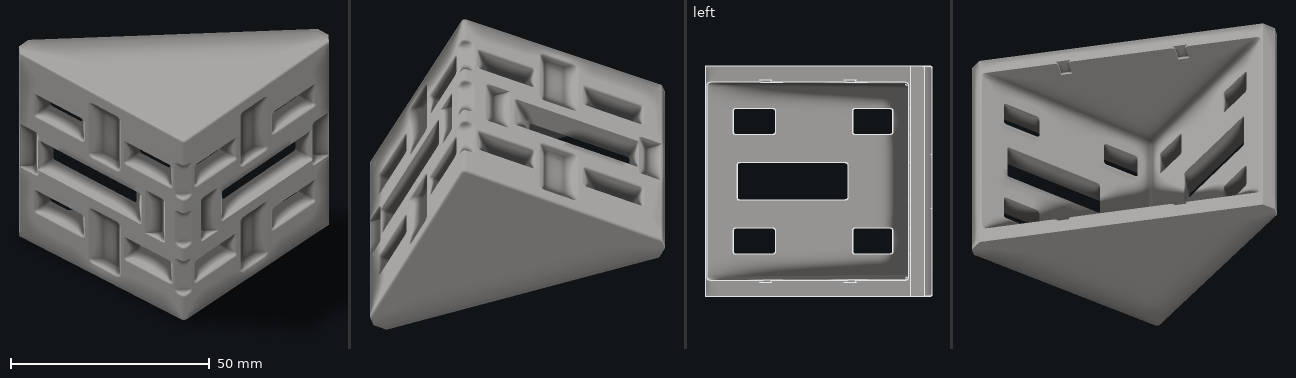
import cadquery as cq
import math


LEG = 57.0
HEIGHT = 58.0
TIP_WIDTH = 5.5
TIP_CHAMFER = 2.0
DRAFT = math.radians(1.0)
CORNER_RADIUS = 1.0
SIDE_EDGE_RADIUS = 0.6
MOUTH_RADIUS = 0.45

PLATE = 5.9
CAVITY_HEIGHT = 49.75
CAVITY_RADIUS = 0.9

PITCH = 15.0
GROOVE_WIDTH = 2.8
GROOVE_DEPTH = 4.65
GROOVE_TOP = 25.45
GROOVE_LIP_RADIUS = 0.8

SMALL_HOLES = [(7.1, 17.65, 23.6), (37.05, 47.1, 53.0)]
SMALL_HOLE_HEIGHT = 6.5
SLOT = (8.05, 35.85, 42.75)
SLOT_HEIGHT = 9.35
HOLE_CORNER_RADIUS = 0.6

POCKET_CENTER = 30.35
POCKET_MOUTH = 10.55
POCKET_FLOOR = 5.35
POCKET_DEPTH = 2.65
POCKET_HEIGHT = 16.7
POCKET_OFFSET = 16.55
POCKET_RADIUS = 0.8

RECESSES = [(TIP_CHAMFER, 4.65), (43.95, 47.1)]
RECESS_DEPTH = 3.15
RECESS_STEEP_RUN = 3.55
RECESS_HEIGHT = 13.6
RECESS_RADIUS = 0.75

NOTCH_LEG = 3.15
NOTCH_HEIGHT = 10.45
NOTCH_RADIUS = 0.7

OVERCUT = 0.6
EDGE_TOLERANCE = 0.05
DIAGONAL = cq.Vector(1, 1, 0)
RIM = (LEG + TIP_WIDTH) / math.sqrt(2)


def prism(points, height, z_center=0.0):
    """Extrude an XY outline, centred on z_center."""
    sketch = cq.Workplane("XY", origin=(0, 0, z_center)).polyline(points).close()
    return sketch.extrude(height / 2, both=True)


def drafted_slab(rim_height):
    """Slab across the diagonal, rim_height tall at the opening and thinning towards the corner."""
    plane = cq.Plane(origin=(0, 0, 0), xDir=(-1, 1, 0), normal=(1, 1, 0))

    def half_height(distance):
        return rim_height / 2 - (RIM - distance) * math.tan(DRAFT)

    near, far = -OVERCUT, RIM + OVERCUT
    return (
        cq.Workplane(plane)
        .polyline([
            (near, -half_height(near)),
            (far, -half_height(far)),
            (far, half_height(far)),
            (near, half_height(near)),
        ])
        .close()
        .extrude(2 * LEG, both=True)
    )


def along(distance):
    """X position at a distance from the free end of the front plate."""
    return distance - LEG


def outer_body():
    """Wedge with chamfered tips, drafted side walls and rounded outer edges."""
    outline = [
        (0, 0),
        (along(TIP_CHAMFER), 0),
        (along(0), TIP_CHAMFER),
        (along(0), TIP_WIDTH),
        (-TIP_WIDTH, LEG),
        (-TIP_CHAMFER, LEG),
        (0, LEG - TIP_CHAMFER),
    ]
    body = prism(outline, HEIGHT).intersect(drafted_slab(HEIGHT))
    body = body.edges("|Z and >(1,-1,0)").fillet(CORNER_RADIUS)
    front = body.faces("<Y").edges("not |Z")
    right = body.faces(">X").edges("not |Z")
    return body.newObject(front.vals() + right.vals()).fillet(SIDE_EDGE_RADIUS)


def cavity():
    """Space between the plates and side walls, rounded everywhere except at the opening."""
    reach = 2 * LEG
    outline = [(-PLATE, PLATE), (-reach, PLATE), (-PLATE, reach)]
    block = prism(outline, HEIGHT).intersect(drafted_slab(CAVITY_HEIGHT))
    return block.edges("not >(-1,1,0)").fillet(CAVITY_RADIUS)


def clip_groove(offset):
    """Groove cut square to the diagonal opening, with lips that flare out to the rim."""
    plane = cq.Plane(
        origin=(-RIM / math.sqrt(2), RIM / math.sqrt(2), 0), xDir=(1, 1, 0), normal=(0, 0, 1)
    )
    half = GROOVE_WIDTH / 2
    flare = half + GROOVE_LIP_RADIUS
    lip = GROOVE_LIP_RADIUS
    bend = lip * (1 - math.sqrt(0.5))
    return (
        cq.Workplane(plane)
        .center(offset, 0)
        .moveTo(-flare, 0)
        .threePointArc((-half - bend, -bend), (-half, -lip))
        .lineTo(-half, -GROOVE_DEPTH)
        .lineTo(half, -GROOVE_DEPTH)
        .lineTo(half, -lip)
        .threePointArc((half + bend, -bend), (flare, 0))
        .close()
        .extrude(GROOVE_TOP, both=True)
    )


def through_hole(left, right_inside, right_outside, height, z_center):
    """Hole with a square left end and a right end sloping parallel to the pull direction."""
    slope = (right_outside - right_inside) / PLATE
    outer, inner = -OVERCUT, PLATE + OVERCUT
    outline = [
        (along(left), outer),
        (along(right_outside - slope * outer), outer),
        (along(right_outside - slope * inner), inner),
        (along(left), inner),
    ]
    rise = math.tan(DRAFT)
    wide = height / 2 + rise * (PLATE - outer)
    narrow = height / 2 + rise * (PLATE - inner)
    taper = (
        cq.Workplane("YZ", origin=(0, 0, z_center))
        .polyline([(outer, -wide), (inner, -narrow), (inner, narrow), (outer, wide)])
        .close()
        .extrude(2 * LEG, both=True)
    )
    cutter = prism(outline, 2 * height, z_center).intersect(taper)
    left_end = cutter.faces("<X").edges("not |Z")
    right_end = cutter.faces(">(1,1,0)").edges("not |Z")
    return cutter.newObject(left_end.vals() + right_end.vals()).fillet(HOLE_CORNER_RADIUS)


def pocket(z_center):
    """Pocket with a flat floor and sloping side walls, rounded inside."""
    wall_slope = (POCKET_MOUTH - POCKET_FLOOR) / 2 / POCKET_DEPTH
    center = along(POCKET_CENTER)
    mouth = POCKET_MOUTH / 2 + wall_slope * POCKET_RADIUS
    floor = POCKET_FLOOR / 2
    outline = [
        (center - mouth, -POCKET_RADIUS),
        (center + mouth, -POCKET_RADIUS),
        (center + floor, POCKET_DEPTH),
        (center - floor, POCKET_DEPTH),
    ]
    cutter = prism(outline, POCKET_HEIGHT, z_center)
    return cutter.edges("not <Y").fillet(POCKET_RADIUS)


def recess(left, apex):
    """V-groove whose wall nearer to the free end lies at 45 degrees and stops at the left end."""
    steep_slope = RECESS_STEEP_RUN / RECESS_DEPTH
    outline = [
        (along(apex), RECESS_DEPTH),
        (along(left), RECESS_DEPTH - (apex - left)),
        (along(left), -OVERCUT),
        (along(apex + (RECESS_DEPTH + OVERCUT) * steep_slope), -OVERCUT),
    ]
    cutter = prism(outline, RECESS_HEIGHT)
    steep = cutter.faces(">(1,1,0)").edges("not |Z")
    return cutter.newObject(steep.vals()).fillet(RECESS_RADIUS)


def corner_notch(z_center):
    """Triangular cutter that bevels the outer corner at 45 degrees, with rounded ends."""
    clearance = 2 * OVERCUT
    reach = NOTCH_LEG + clearance
    outline = [(-reach, -clearance), (clearance, -clearance), (clearance, reach)]
    cutter = prism(outline, NOTCH_HEIGHT, z_center)
    return cutter.faces("<(1,-1,0)").edges("not |Z").fillet(NOTCH_RADIUS)


def cut_both_plates(body, cutter):
    """Cut a feature of the front plate and its mirror image in the other plate."""
    return body.cut(cutter).cut(cutter.mirror(DIAGONAL))


def opening_edges(body):
    """Mouth edges of the holes and pockets cut so far into the two outer plate faces."""
    edges = []
    for selector in ("<Y", ">X"):
        for wire in body.faces(selector).val().innerWires():
            edges += wire.Edges()
    return body.newObject(edges)


def notch_edges(body):
    """Edges where the corner notches meet the two outer plate faces."""
    edges = []
    for selector in ("<Y", ">X"):
        for edge in body.faces(selector).val().outerWire().Edges():
            center = edge.Center()
            from_corner = center.y - center.x
            if CORNER_RADIUS + EDGE_TOLERANCE < from_corner < NOTCH_LEG + OVERCUT:
                edges.append(edge)
    return body.newObject(edges)


body = outer_body().cut(cavity())
for offset in (-PITCH, PITCH):
    body = body.cut(clip_groove(offset))

for side in (-1, 1):
    body = cut_both_plates(body, pocket(side * POCKET_OFFSET))
    for left, right_inside, right_outside in SMALL_HOLES:
        body = cut_both_plates(
            body, through_hole(left, right_inside, right_outside, SMALL_HOLE_HEIGHT, side * PITCH)
        )
body = opening_edges(body).fillet(MOUTH_RADIUS)

for z_center in (-PITCH, 0, PITCH):
    body = body.cut(corner_notch(z_center))
body = notch_edges(body).fillet(MOUTH_RADIUS)

body = cut_both_plates(body, through_hole(*SLOT, SLOT_HEIGHT, 0))
for left, apex in RECESSES:
    body = cut_both_plates(body, recess(left, apex))

result = body